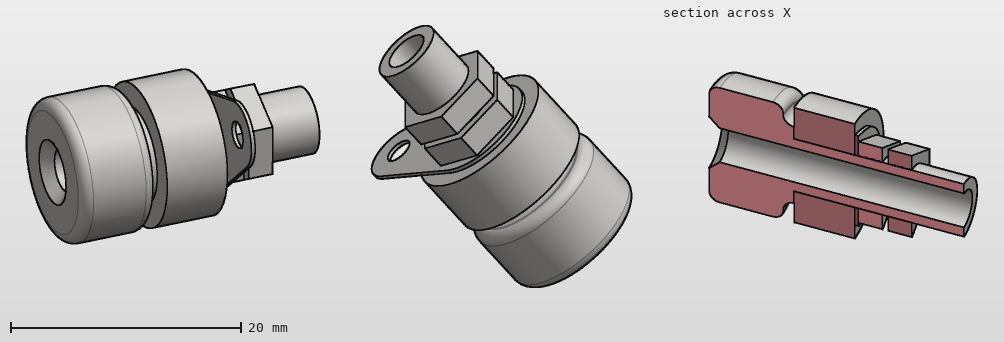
import cadquery as cq
import math


body_radius = 6.5
neck_radius = 4.35
stem_radius = 3.0
bore_radius = 1.9
edge_radius = 1.0
countersink_depth = 1.0
countersink_radius = bore_radius + countersink_depth

head_length = 7.0
collar_front = head_length + edge_radius
collar_length = 5.7
collar_rear = collar_front + collar_length
tag_thickness = 0.35
tag_rear = collar_rear + tag_thickness
nut_thickness = 2.25
nut_gap = 0.5
total_length = 24.0

nut_across_flats = 8.0
nut_sides = 6
nut_across_corners = nut_across_flats / math.cos(math.pi / nut_sides)
nut_count = 2

tag_ring_radius = 5.0
tag_tip_radius = 3.0
tag_hole_radius = 1.2
tag_reach = 10.0
tag_angle = 30.0


def plane_at(y):
    """Plane across the axis, with local X along X and its normal along +Y."""
    return cq.Workplane(cq.Plane(origin=(0, y, 0), xDir=(1, 0, 0), normal=(0, 1, 0)))


def make_socket():
    """Rounded head, flared neck and long stem, with a countersunk through bore."""
    arc_offset = edge_radius * math.sqrt(0.5)
    rounded_radius = body_radius - edge_radius
    flare_radius = neck_radius + edge_radius
    head_rear_round = head_length - edge_radius
    profile = (
        cq.Workplane("XY")
        .moveTo(bore_radius, countersink_depth)
        .lineTo(countersink_radius, 0)
        .lineTo(rounded_radius, 0)
        .threePointArc(
            (rounded_radius + arc_offset, edge_radius - arc_offset),
            (body_radius, edge_radius),
        )
        .lineTo(body_radius, head_rear_round)
        .threePointArc(
            (rounded_radius + arc_offset, head_rear_round + arc_offset),
            (rounded_radius, head_length),
        )
        .lineTo(flare_radius, head_length)
        .threePointArc(
            (flare_radius - arc_offset, collar_front - arc_offset),
            (neck_radius, collar_front),
        )
        .lineTo(stem_radius, collar_front)
        .lineTo(stem_radius, total_length)
        .lineTo(bore_radius, total_length)
        .close()
    )
    return profile.revolve(360, (0, 0, 0), (0, 1, 0))


def make_collar():
    """Plain ring on the stem, directly behind the neck."""
    return plane_at(collar_front).circle(body_radius).circle(stem_radius).extrude(collar_length)


def make_tag():
    """Flat teardrop tag: a ring on the stem joined by tangent edges to a drilled tip."""
    tangent_angle = math.acos((tag_ring_radius - tag_tip_radius) / tag_reach)
    tangent_x = math.cos(tangent_angle)
    tangent_z = math.sin(tangent_angle)
    ring_x = tag_ring_radius * tangent_x
    ring_z = tag_ring_radius * tangent_z
    tip_x = tag_reach + tag_tip_radius * tangent_x
    tip_z = tag_tip_radius * tangent_z
    blank = (
        plane_at(collar_rear)
        .moveTo(ring_x, ring_z)
        .lineTo(tip_x, tip_z)
        .threePointArc((tag_reach + tag_tip_radius, 0), (tip_x, -tip_z))
        .lineTo(ring_x, -ring_z)
        .threePointArc((-tag_ring_radius, 0), (ring_x, ring_z))
        .close()
        .extrude(tag_thickness)
    )
    stem_hole = plane_at(collar_rear).circle(stem_radius).extrude(tag_thickness)
    tip_hole = plane_at(collar_rear).center(tag_reach, 0).circle(tag_hole_radius).extrude(tag_thickness)
    return blank.cut(stem_hole).cut(tip_hole).rotate((0, 0, 0), (0, 1, 0), -tag_angle)


def make_nut(front):
    """Hexagon nut on the stem with corners pointing up and down."""
    nut = plane_at(front).polygon(nut_sides, nut_across_corners).circle(stem_radius).extrude(nut_thickness)
    return nut.rotate((0, 0, 0), (0, 1, 0), 180 / nut_sides)


socket = make_socket()
collar = make_collar()
tag = make_tag()
nuts = [make_nut(tag_rear + index * (nut_thickness + nut_gap)) for index in range(nut_count)]

result = cq.Compound.makeCompound([socket.val(), collar.val(), tag.val(), *[nut.val() for nut in nuts]])